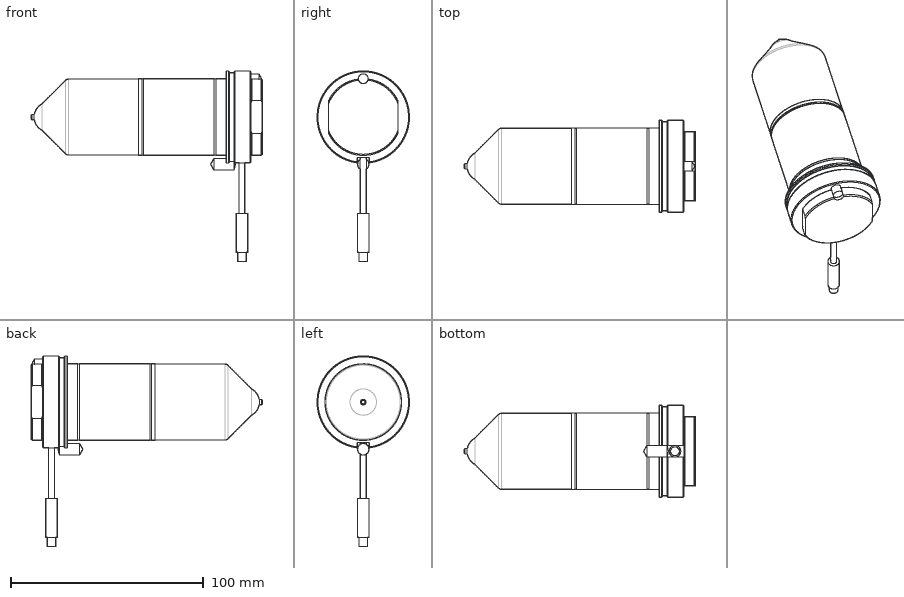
import cadquery as cq
import math


TIP_R = 1.5
TIP_CHAMFER = 0.5
DOME_END = 5.5
DOME_RIM_R = 6.8
DOME_R = 7.8
NOSE_R = 19.8
CONE_FILLET = 2.0

SLEEVE_START = 55.7
SLEEVE_R = 19.9
MARK_DEPTH = 0.1
MARK_GROOVES = [(57.5, 58.3), (94.8, 95.9)]

RING_START = 101.0
RING_END = 102.8
GROOVE_R = 23.2
FLANGE_START = 105.4
FLANGE_END = 114.0
COLLAR_R = 24.0
COLLAR_CHAMFER = 0.5

SLOT_FLOOR_Z = -21.0
SLOT_WIDTH = 6.0

CAP_END = 120.0
CAP_R = SLEEVE_R
CAP_CHAMFER = 0.6
CAP_FLAT_Y = 18.0

KEY_R = 2.5
KEY_Z = CAP_R
KEY_SHOULDER = 118.3
KEY_POINT = 119.6

PIN_R = SLOT_WIDTH / 2
PIN_Z = -24.5
PIN_POINT = 93.1
PIN_SHOULDER = 94.8
PIN_END = FLANGE_START
PIN_CROWN = 0.7

CABLE_X = 109.5
CABLE_R = 1.5
PLUG_R = 3.0
PLUG_TOP_Z = -50.0
PLUG_BOTTOM_Z = -70.2
PLUG_END_R = 2.3
CABLE_END_Z = -75.0


def x_cylinder(start, end, radius, z=0):
    """Cylinder along X between two stations, centred on y = 0 and the given z."""
    return cq.Workplane("YZ", origin=(start, 0, z)).circle(radius).extrude(end - start)


def make_nose():
    cone_end = DOME_END + NOSE_R - DOME_RIM_R
    dome_centre = DOME_END + math.sqrt(DOME_R**2 - DOME_RIM_R**2)
    dome_front = dome_centre - DOME_R
    half_angle = math.asin(DOME_RIM_R / DOME_R) / 2
    dome_middle = (dome_centre - DOME_R * math.cos(half_angle), DOME_R * math.sin(half_angle))
    nose = (
        cq.Workplane("XY")
        .moveTo(dome_front, 0)
        .threePointArc(dome_middle, (DOME_END, DOME_RIM_R))
        .lineTo(cone_end, NOSE_R)
        .lineTo(SLEEVE_START, NOSE_R)
        .lineTo(SLEEVE_START, 0)
        .close()
        .revolve(360, (0, 0, 0), (1, 0, 0))
    )
    cone_rim = cq.selectors.BoxSelector(
        (cone_end - 1.2, -COLLAR_R, -COLLAR_R), (cone_end + 1.2, COLLAR_R, COLLAR_R)
    )
    nose = nose.edges(cone_rim).fillet(CONE_FILLET)
    tip = x_cylinder(0, DOME_END, TIP_R).faces("<X").chamfer(TIP_CHAMFER)
    return nose.union(tip)


def make_sleeve():
    sleeve = x_cylinder(SLEEVE_START, FLANGE_END, SLEEVE_R)
    for start, end in MARK_GROOVES:
        sleeve = sleeve.cut(
            x_cylinder(start, end, COLLAR_R).cut(x_cylinder(start, end, SLEEVE_R - MARK_DEPTH))
        )
    return sleeve


def make_collar():
    ring = x_cylinder(RING_START, RING_END, COLLAR_R).edges().chamfer(COLLAR_CHAMFER)
    flange = x_cylinder(FLANGE_START, FLANGE_END, COLLAR_R).edges().chamfer(COLLAR_CHAMFER)
    collar = x_cylinder(RING_START, FLANGE_END, GROOVE_R).union(ring).union(flange)
    length = FLANGE_END - RING_START
    slot = cq.Workplane("XY").box(length, SLOT_WIDTH, COLLAR_R, centered=(False, True, False))
    return collar.cut(slot.translate((RING_START, 0, SLOT_FLOOR_Z - COLLAR_R)))


def make_housing():
    return make_nose().union(make_sleeve()).union(make_collar())


def make_end_cap():
    cap = x_cylinder(FLANGE_END, CAP_END, CAP_R).edges().chamfer(CAP_CHAMFER)
    flats = cq.Workplane("XY").box(
        CAP_END - FLANGE_END, 2 * CAP_FLAT_Y, 2 * CAP_R, centered=(False, True, True)
    )
    cap = cap.intersect(flats.translate((FLANGE_END, 0, 0)))
    return cap.cut(x_cylinder(FLANGE_END, CAP_END, KEY_R, KEY_Z))


def make_locating_pin():
    return (
        cq.Workplane("XY", origin=(0, 0, KEY_Z))
        .moveTo(FLANGE_END, 0)
        .lineTo(FLANGE_END, KEY_R)
        .lineTo(KEY_SHOULDER, KEY_R)
        .lineTo(KEY_POINT, 0)
        .close()
        .revolve(360, (0, 0, 0), (1, 0, 0))
    )


def make_pointed_pin():
    return (
        cq.Workplane("XY", origin=(0, 0, PIN_Z))
        .moveTo(PIN_POINT, 0)
        .lineTo(PIN_SHOULDER, PIN_R)
        .lineTo(PIN_END, PIN_R)
        .lineTo(PIN_END + PIN_CROWN, 0)
        .close()
        .revolve(360, (0, 0, 0), (1, 0, 0))
    )


def make_cable():
    def z_cylinder(bottom, top, radius):
        return cq.Workplane("XY", origin=(CABLE_X, 0, bottom)).circle(radius).extrude(top - bottom)

    wire = z_cylinder(PLUG_TOP_Z, SLOT_FLOOR_Z, CABLE_R)
    plug = z_cylinder(PLUG_BOTTOM_Z, PLUG_TOP_Z, PLUG_R)
    plug_end = z_cylinder(CABLE_END_Z, PLUG_BOTTOM_Z, PLUG_END_R)
    return wire.union(plug).union(plug_end)


housing = make_housing()
end_cap = make_end_cap()
locating_pin = make_locating_pin()
pointed_pin = make_pointed_pin()
cable = make_cable()

result = cq.Compound.makeCompound(
    [housing.val(), end_cap.val(), locating_pin.val(), pointed_pin.val(), cable.val()]
)